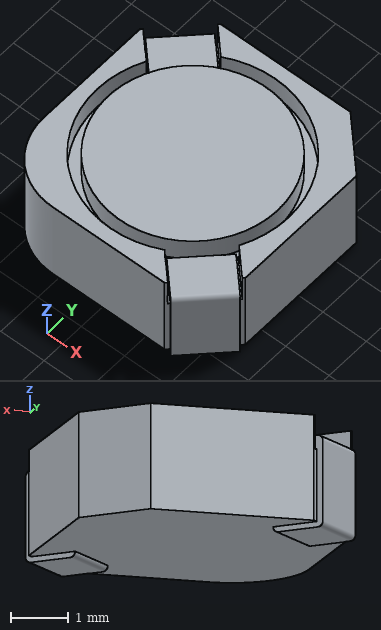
import cadquery as cq

overall_height = 2.0
body_bottom = 0.1
body_width = 5.0
bevel = 1.005
corner_radius = 1.41

core_radius = 1.95
groove_radius = 2.2
groove_floor = 1.5

terminal_width = 1.215
slot_width = 1.31
slot_floor = 1.405
terminal_inner = 1.96
terminal_outer = 2.95
terminal_top = 1.65
bend_radius = body_bottom

half_width = body_width / 2
bevel_distance = (body_width - bevel) / 2**0.5
terminal_angles = (-45, 135)


def make_body():
    """Block resting on the terminal feet."""
    bevel_start = half_width - bevel
    round_start = half_width - corner_radius
    return (
        cq.Workplane("XY", origin=(0, 0, body_bottom))
        .moveTo(-round_start, -half_width)
        .lineTo(bevel_start, -half_width)
        .lineTo(half_width, -bevel_start)
        .lineTo(half_width, bevel_start)
        .lineTo(bevel_start, half_width)
        .lineTo(-bevel_start, half_width)
        .lineTo(-half_width, bevel_start)
        .lineTo(-half_width, -round_start)
        .radiusArc((-round_start, -half_width), -corner_radius)
        .close()
        .extrude(overall_height - body_bottom)
    )


def make_ring_groove():
    """Material removed around the core."""
    return (
        cq.Workplane("XY", origin=(0, 0, groove_floor))
        .circle(groove_radius)
        .circle(core_radius)
        .extrude(overall_height - groove_floor)
    )


def make_slot():
    """Open-topped channel from the edge of the core out through a corner, along +X."""
    return (
        cq.Workplane("XY", origin=(terminal_inner, 0, slot_floor))
        .box(
            terminal_outer - terminal_inner,
            slot_width,
            overall_height - slot_floor,
            centered=(False, True, False),
        )
    )


def make_terminal():
    """C-shaped clip on +X: foot under the body, outer leg and top block."""
    inner_bend = terminal_inner + bend_radius
    outer_bend = terminal_outer - bend_radius
    top_bend = terminal_top - bend_radius
    return (
        cq.Workplane("XZ")
        .moveTo(terminal_inner, body_bottom)
        .radiusArc((inner_bend, 0), -bend_radius)
        .lineTo(outer_bend, 0)
        .radiusArc((terminal_outer, bend_radius), -bend_radius)
        .lineTo(terminal_outer, top_bend)
        .radiusArc((outer_bend, terminal_top), -bend_radius)
        .lineTo(inner_bend, terminal_top)
        .radiusArc((terminal_inner, top_bend), -bend_radius)
        .lineTo(terminal_inner, slot_floor)
        .lineTo(bevel_distance, slot_floor)
        .lineTo(bevel_distance, body_bottom)
        .close()
        .extrude(terminal_width / 2, both=True)
    )


def turn(shape, angle):
    """Rotate a shape about the part axis."""
    return shape.rotate((0, 0, 0), (0, 0, 1), angle)


result = make_body().cut(make_ring_groove())
for angle in terminal_angles:
    result = result.cut(turn(make_slot(), angle))
    result = result.union(turn(make_terminal(), angle))